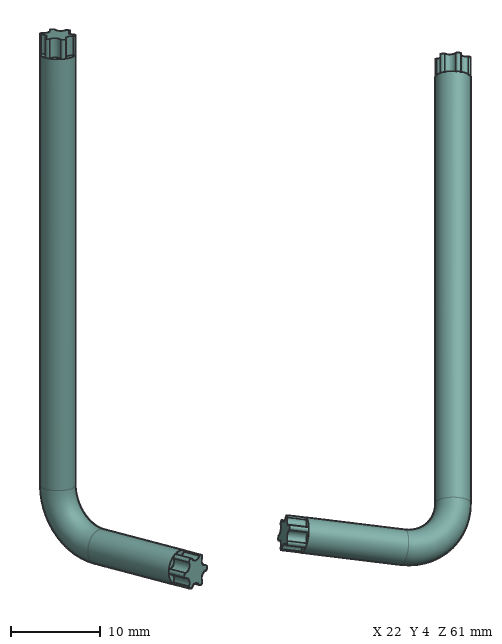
import cadquery as cq
import math

total_height = 61.0
total_reach = 22.0
rod_diameter = 4.0
outer_bend_radius = 8.0
tip_length = 2.25

lobe_count = 6
lobe_tip_radius = rod_diameter / 2
flute_floor_radius = 1.35
lobe_edge_radius = 1.8
lobe_half_angle = 10.0
first_lobe_angle = 90.0

rod_radius = rod_diameter / 2
bend_radius = outer_bend_radius - rod_radius
top_z = total_height - rod_radius
end_x = total_reach - rod_radius
long_shoulder_z = top_z - tip_length
short_shoulder_x = end_x - tip_length


def polar(radius, degrees):
    angle = math.radians(degrees)
    return (radius * math.cos(angle), radius * math.sin(angle))


def lobed_tip(plane):
    """Six rounded lobes separated by concave flutes, extruded along the plane normal."""
    pitch = 360 / lobe_count
    profile = cq.Workplane(plane).moveTo(*polar(lobe_edge_radius, first_lobe_angle - lobe_half_angle))
    for i in range(lobe_count):
        lobe = first_lobe_angle + i * pitch
        profile = profile.threePointArc(
            polar(lobe_tip_radius, lobe),
            polar(lobe_edge_radius, lobe + lobe_half_angle),
        )
        profile = profile.threePointArc(
            polar(flute_floor_radius, lobe + pitch / 2),
            polar(lobe_edge_radius, lobe + pitch - lobe_half_angle),
        )
    return profile.close().extrude(tip_length)


def bent_rod():
    """Round rod swept down the long arm, around the bend and along the short arm."""
    bend_offset = bend_radius * (1 - math.sqrt(0.5))
    path = (
        cq.Workplane("XZ")
        .moveTo(0, long_shoulder_z)
        .lineTo(0, bend_radius)
        .threePointArc((bend_offset, bend_offset), (bend_radius, 0))
        .lineTo(short_shoulder_x, 0)
    )
    return cq.Workplane("XY", origin=(0, 0, long_shoulder_z)).circle(rod_radius).sweep(path)


long_tip_plane = cq.Plane(origin=(0, 0, long_shoulder_z), xDir=(1, 0, 0), normal=(0, 0, 1))
short_tip_plane = cq.Plane(origin=(short_shoulder_x, 0, 0), xDir=(0, 0, -1), normal=(1, 0, 0))

result = bent_rod().union(lobed_tip(long_tip_plane)).union(lobed_tip(short_tip_plane))